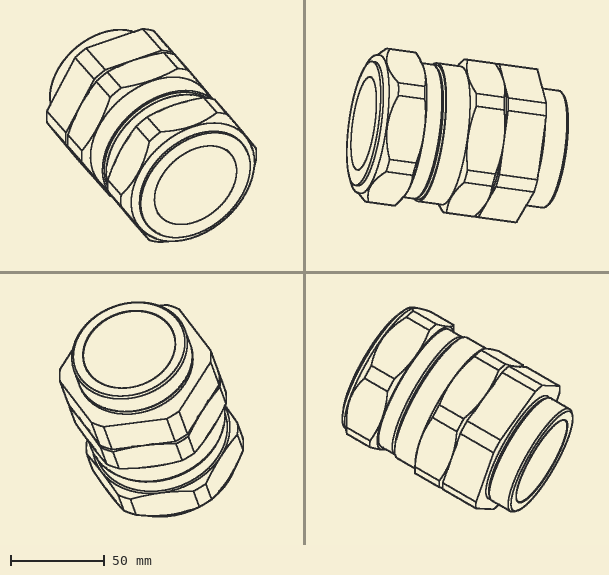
import math

import cadquery as cq

across_flats = 75.0
hex_corner_radius = 1.1 * across_flats / 2
hex_face_radius = across_flats / 2
bore_radius = 25.0

entry_hex_start = 15.2
body_nut_start = 36.3
body_start = 56.25
body_groove_bottom = 70.45
cap_nut_start = 80.2
cap_nut_end = 101.05
rim_end = 103.1
overall_length = 104.6

spigot_radius = 31.5
body_radius = 37.2
neck_radius = 36.1
rim_radius = 37.2
seal_radius = 33.3

edge_chamfer = 1.1
mouth_chamfer = 0.25
rim_rounding = 1.15
shallow_cone_angle = 30.0
cap_cone_angle = 45.0


def turned(profile):
    """Solid of revolution about X from (x, radius) points, closed along the axis."""
    first_x = profile[0][0]
    last_x = profile[-1][0]
    outline = [(first_x, 0)] + profile + [(last_x, 0)]
    return cq.Workplane("XZ").polyline(outline).close().revolve(360, (0, 0, 0), (1, 0, 0))


def cylinder(start, end, radius):
    """Plain round section between two stations."""
    return turned([(start, radius), (end, radius)])


def hexagon(start, end):
    """Hexagonal prism along X with flats facing +Z and -Z."""
    across_corners = across_flats / math.cos(math.radians(30))
    return cq.Workplane("YZ").workplane(offset=start).polygon(6, across_corners).extrude(end - start)


def chamfered_nut(start, end, end_angle, end_radius):
    """Hexagon coned at both ends; cone angles are measured from the end faces.

    The far cone runs down to end_radius, the size of the round section that follows it.
    """
    start_run = (hex_corner_radius - hex_face_radius) * math.tan(math.radians(shallow_cone_angle))
    end_run = (hex_corner_radius - end_radius) * math.tan(math.radians(end_angle))
    envelope = turned([
        (start, hex_face_radius),
        (start + start_run, hex_corner_radius),
        (end - end_run, hex_corner_radius),
        (end, end_radius),
    ])
    return hexagon(start, end).intersect(envelope)


def entry_spigot():
    """Entry thread cylinder with a chamfered mouth and a V groove against the hexagon."""
    small_radius = spigot_radius - edge_chamfer
    return turned([
        (0, small_radius),
        (edge_chamfer, spigot_radius),
        (entry_hex_start - 2 * edge_chamfer, spigot_radius),
        (entry_hex_start - edge_chamfer, small_radius),
        (entry_hex_start, spigot_radius),
    ])


def entry_hexagon():
    """Hexagon with round corners and square end faces."""
    envelope = cylinder(entry_hex_start, body_nut_start, hex_corner_radius)
    return hexagon(entry_hex_start, body_nut_start).intersect(envelope)


def round_body():
    """Large barrel and smaller neck, parted by a V groove."""
    groove_radius = neck_radius - edge_chamfer
    return turned([
        (body_start, body_radius),
        (body_groove_bottom - edge_chamfer, body_radius),
        (body_groove_bottom - edge_chamfer, neck_radius),
        (body_groove_bottom, groove_radius),
        (body_groove_bottom + edge_chamfer, neck_radius),
        (cap_nut_start, neck_radius),
    ])


def cap_rim():
    """Thin rim behind the cap nut with a rounded outer edge."""
    return cylinder(cap_nut_end, rim_end, rim_radius).faces(">X").edges().fillet(rim_rounding)


def bore():
    """Through bore with a slightly broken edge at the entry mouth."""
    return turned([
        (0, bore_radius + mouth_chamfer),
        (mouth_chamfer, bore_radius),
        (overall_length, bore_radius),
    ])


result = (
    entry_spigot()
    .union(entry_hexagon())
    .union(chamfered_nut(body_nut_start, body_start, shallow_cone_angle, body_radius))
    .union(round_body())
    .union(chamfered_nut(cap_nut_start, cap_nut_end, cap_cone_angle, rim_radius))
    .union(cap_rim())
    .union(cylinder(rim_end, overall_length, seal_radius))
    .cut(bore())
)